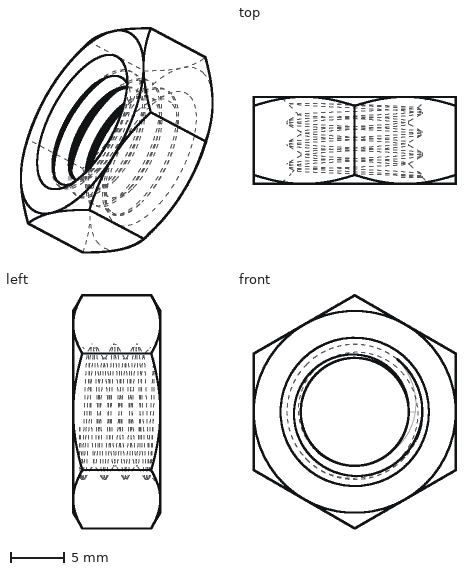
import cadquery as cq
import math

across_corners = 22.0
across_flats = across_corners * math.cos(math.radians(30))
thickness = 8.2
corner_chamfer_angle = 30.0

bore_radius = 5.08
countersink_radius = 7.0

pitch = 2.0
half_thread_angle = 30.0
crest_flat = pitch / 8
root_flat = pitch / 8
groove_depth = (pitch - crest_flat - root_flat) / 2 / math.tan(math.radians(half_thread_angle))
root_radius = bore_radius + groove_depth
root_start_depth = 0.53
root_start_angle = 44.0
turns_below_start = 5
thread_turns = 7
bore_overlap = 0.07


def hex_blank():
    """Hexagonal prism whose corners are turned off by a cone at both ends."""
    prism = cq.Workplane("XY").polygon(6, across_corners).extrude(thickness / 2, both=True)
    prism = prism.rotate((0, 0, 0), (0, 0, 1), 30)
    half = thickness / 2
    face_radius = across_flats / 2
    cone_slope = math.tan(math.radians(corner_chamfer_angle))
    rim_radius = face_radius + half / cone_slope
    envelope = (
        cq.Workplane("XZ")
        .polyline([(0, -half), (face_radius, -half), (rim_radius, 0), (face_radius, half), (0, half)])
        .close()
        .revolve(360, (0, 0, 0), (0, 1, 0))
    )
    return prism.intersect(envelope)


def countersunk_bore():
    """Through bore with a 45 degree countersink at both ends."""
    half = thickness / 2
    cone_end = half - (countersink_radius - bore_radius)
    return (
        cq.Workplane("XZ")
        .moveTo(0, -half)
        .lineTo(countersink_radius, -half)
        .lineTo(bore_radius, -cone_end)
        .lineTo(bore_radius, cone_end)
        .lineTo(countersink_radius, half)
        .lineTo(0, half)
        .close()
        .revolve(360, (0, 0, 0), (0, 1, 0))
    )


def thread_groove():
    """V groove swept along a helix that runs past both end faces."""
    start_height = thickness / 2 - root_start_depth - turns_below_start * pitch
    inner_radius = bore_radius - bore_overlap
    half_root = root_flat / 2
    half_mouth = half_root + (root_radius - inner_radius) * math.tan(math.radians(half_thread_angle))
    path = cq.Wire.makeHelix(pitch, thread_turns * pitch, bore_radius)
    groove = (
        cq.Workplane("XZ")
        .moveTo(inner_radius, -half_mouth)
        .lineTo(root_radius, -half_root)
        .lineTo(root_radius, half_root)
        .lineTo(inner_radius, half_mouth)
        .close()
        .sweep(cq.Workplane(path), isFrenet=True)
    )
    return groove.rotate((0, 0, 0), (0, 0, 1), root_start_angle).translate((0, 0, start_height))


nut = hex_blank().cut(thread_groove()).cut(countersunk_bore())
result = nut.rotate((0, 0, 0), (1, 0, 0), 90)